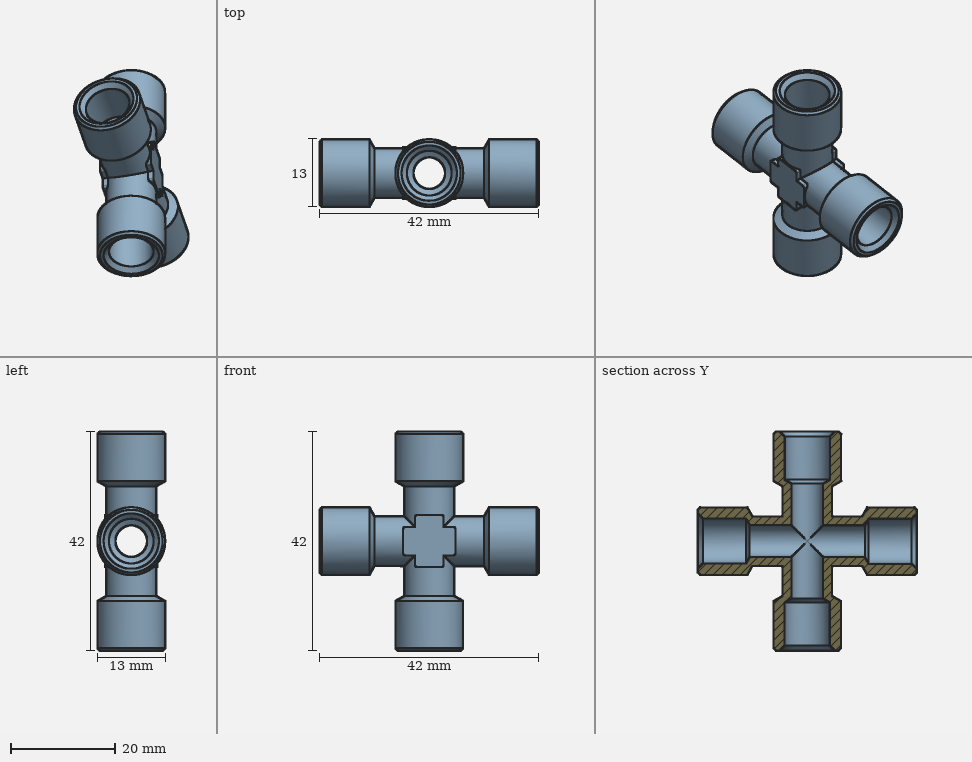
import cadquery as cq
import math

SPAN = 42.0
HALF_SPAN = SPAN / 2

COLLAR_DIAMETER = 13.0
PIPE_DIAMETER = 9.6
COLLAR_LENGTH = 10.5
SHOULDER_LENGTH = 0.95
RIM_CHAMFER = 0.5

THROUGH_DIAMETER = 6.0
SOCKET_DIAMETER = 8.55
SOCKET_DEPTH = 9.25
DRILL_POINT_ANGLE = 120.0
MOUTH_DIAMETER = 10.6
MOUTH_DEPTH = (MOUTH_DIAMETER - SOCKET_DIAMETER) / 2

PAD_SPAN = 10.0
PAD_ARM_WIDTH = 5.45
PAD_THICKNESS = PAD_SPAN
PAD_CORNER_RADIUS = 0.4

ARM_ANGLES = (0, 90, 180, 270)


def revolve_arm(profile):
    """Revolve (radius, height) points about Z."""
    return cq.Workplane("XZ").polyline(profile).close().revolve(360, (0, 0), (0, 1))


def around_cross(arm):
    """Repeat an upright arm in the four directions of the cross."""
    cross = arm
    for angle in ARM_ANGLES[1:]:
        cross = cross.union(arm.rotate((0, 0, 0), (0, 1, 0), angle))
    return cross


def outer_arm():
    collar_radius = COLLAR_DIAMETER / 2
    pipe_radius = PIPE_DIAMETER / 2
    collar_start = HALF_SPAN - COLLAR_LENGTH
    return revolve_arm([
        (0, 0),
        (pipe_radius, 0),
        (pipe_radius, collar_start),
        (collar_radius, collar_start + SHOULDER_LENGTH),
        (collar_radius, HALF_SPAN - RIM_CHAMFER),
        (collar_radius - RIM_CHAMFER, HALF_SPAN),
        (0, HALF_SPAN),
    ])


def bore_arm():
    through_radius = THROUGH_DIAMETER / 2
    socket_radius = SOCKET_DIAMETER / 2
    socket_floor = HALF_SPAN - SOCKET_DEPTH
    point_depth = (socket_radius - through_radius) / math.tan(math.radians(DRILL_POINT_ANGLE / 2))
    return revolve_arm([
        (0, 0),
        (through_radius, 0),
        (through_radius, socket_floor - point_depth),
        (socket_radius, socket_floor),
        (socket_radius, HALF_SPAN - MOUTH_DEPTH),
        (MOUTH_DIAMETER / 2, HALF_SPAN),
        (0, HALF_SPAN),
    ])


def pad_block():
    """Cross-shaped block whose two ends stand out as flat pads."""
    bar = cq.Workplane("XY").box(PAD_SPAN, PAD_THICKNESS, PAD_ARM_WIDTH)
    post = cq.Workplane("XY").box(PAD_ARM_WIDTH, PAD_THICKNESS, PAD_SPAN)
    bar = bar.edges("|Y").fillet(PAD_CORNER_RADIUS)
    post = post.edges("|Y").fillet(PAD_CORNER_RADIUS)
    return bar.union(post)


result = around_cross(outer_arm()).union(pad_block()).cut(around_cross(bore_arm()))